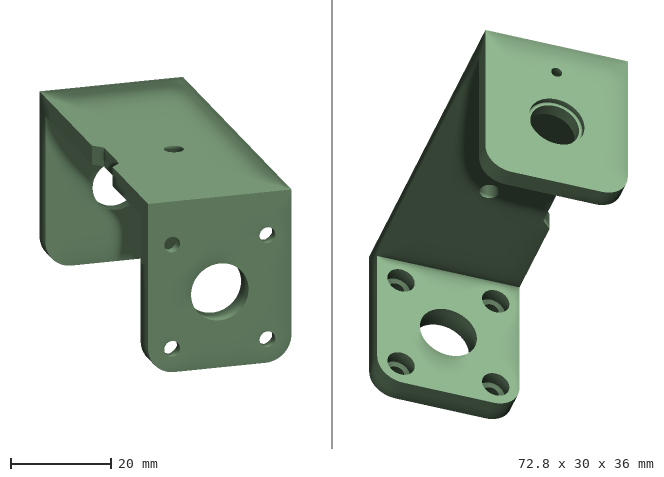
import cadquery as cq

LENGTH = 72.8
DEPTH = 30.0
HEIGHT = 36.0
TOP_THICKNESS = 4.0
LEFT_WALL = 4.0
RIGHT_WALL = 5.0
CORNER_RADIUS = 5.45

TOP_CENTER_X = 42.0
TOP_HOLE_DIAMETER = 4.0
NOTCH_DEPTH = 2.0
NOTCH_FLOOR_WIDTH = 10.05

BORE_Z = HEIGHT - 20.1

LEFT_BORE_DIAMETER = 10.3
LEFT_RECESS_DIAMETER = 11.7
LEFT_RECESS_DEPTH = 1.25
PIN_HOLE_DIAMETER = 2.25
PIN_HOLE_Z = HEIGHT - 7.05

RIGHT_BORE_DIAMETER = 12.0
SCREW_DIAMETER = 3.3
SCREW_HEAD_DIAMETER = 5.75
SCREW_HEAD_DEPTH = 3.0
SCREW_SPACING_Y = 19.95
SCREW_SPACING_Z = 22.0

RIGHT_INNER_X = LENGTH - RIGHT_WALL


def make_channel():
    """U-shaped bracket with the lower corners of both walls rounded."""
    block = cq.Workplane("XY").box(LENGTH, DEPTH, HEIGHT, centered=(False, True, False))
    block = block.edges("|X and <Z").fillet(CORNER_RADIUS)
    opening = (
        cq.Workplane("XY")
        .box(RIGHT_INNER_X - LEFT_WALL, DEPTH, HEIGHT - TOP_THICKNESS, centered=(False, True, False))
        .translate((LEFT_WALL, 0, 0))
    )
    return block.cut(opening)


def x_cylinder(diameter, start_x, length, y, z):
    """Cylinder that runs along +X from start_x."""
    return cq.Workplane("YZ", origin=(start_x, y, z)).circle(diameter / 2).extrude(length)


def cut_top_plate(body):
    """Vertical hole and the front-edge notch with 45 degree sides."""
    plate_bottom = HEIGHT - TOP_THICKNESS
    plane = cq.Workplane("XY", origin=(TOP_CENTER_X, 0, plate_bottom))
    hole = plane.circle(TOP_HOLE_DIAMETER / 2).extrude(TOP_THICKNESS)
    front_y = -DEPTH / 2
    floor_half = NOTCH_FLOOR_WIDTH / 2
    mouth_half = floor_half + NOTCH_DEPTH
    notch = (
        plane.moveTo(-mouth_half, front_y)
        .lineTo(-floor_half, front_y + NOTCH_DEPTH)
        .lineTo(floor_half, front_y + NOTCH_DEPTH)
        .lineTo(mouth_half, front_y)
        .close()
        .extrude(TOP_THICKNESS)
    )
    return body.cut(hole).cut(notch)


def cut_left_wall(body):
    """Stepped bore, recessed from the outside, and a small hole above it."""
    bore = x_cylinder(LEFT_BORE_DIAMETER, 0, LEFT_WALL, 0, BORE_Z)
    recess = x_cylinder(LEFT_RECESS_DIAMETER, 0, LEFT_RECESS_DEPTH, 0, BORE_Z)
    pin_hole = x_cylinder(PIN_HOLE_DIAMETER, 0, LEFT_WALL, 0, PIN_HOLE_Z)
    return body.cut(bore).cut(recess).cut(pin_hole)


def cut_right_wall(body):
    """Plain bore surrounded by four screw holes counterbored from the inside."""
    body = body.cut(x_cylinder(RIGHT_BORE_DIAMETER, RIGHT_INNER_X, RIGHT_WALL, 0, BORE_Z))
    for side_y in (-1, 1):
        for side_z in (-1, 1):
            y = side_y * SCREW_SPACING_Y / 2
            z = BORE_Z + side_z * SCREW_SPACING_Z / 2
            body = body.cut(x_cylinder(SCREW_DIAMETER, RIGHT_INNER_X, RIGHT_WALL, y, z))
            body = body.cut(x_cylinder(SCREW_HEAD_DIAMETER, RIGHT_INNER_X, SCREW_HEAD_DEPTH, y, z))
    return body


result = cut_right_wall(cut_left_wall(cut_top_plate(make_channel())))